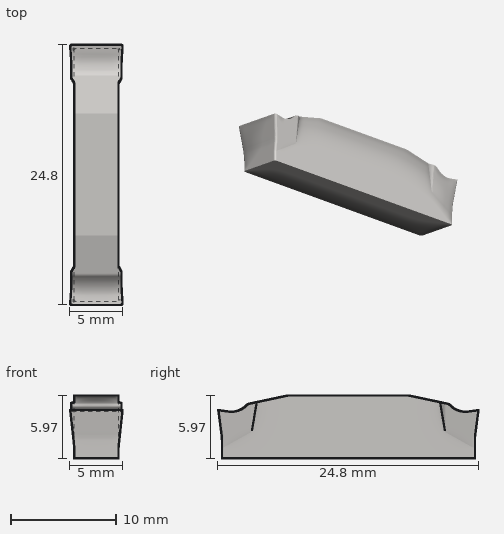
import cadquery as cq
import math

half_length = 12.38
height = 5.97
body_half_width = 2.115

ramp_top_y = 5.80
ramp_angle = 12.0
crest_y = 9.39
crest_radius = 0.58
groove_steepest_angle = 46.0
land_length = 0.98
land_angle = 8.0

end_relief_angle = 7.5
end_relief_bottom_z = 2.23
upright_top_z = 1.78

edge_half_width = 2.516
side_relief_angle = 5.9
back_taper_angle = 3.3
knee_y = 9.2
neck_angle = 31.0
knee_radius = 0.15
corner_radius = 0.2

blank_overhang = 1.0
neck_reach = 1.5


def sine(angle):
    return math.sin(math.radians(angle))


def cosine(angle):
    return math.cos(math.radians(angle))


def tangent(angle):
    return math.tan(math.radians(angle))


crest_z = height - (crest_y - ramp_top_y) * tangent(ramp_angle)
groove_inner_y = crest_y + crest_radius * (sine(groove_steepest_angle) - sine(ramp_angle))
groove_inner_z = crest_z - crest_radius * (cosine(ramp_angle) - cosine(groove_steepest_angle))
groove_outer_y = half_length - land_length
groove_radius = (groove_outer_y - groove_inner_y) / (sine(groove_steepest_angle) + sine(land_angle))
groove_outer_z = groove_inner_z - groove_radius * (cosine(land_angle) - cosine(groove_steepest_angle))
edge_height = groove_outer_z + land_length * tangent(land_angle)

end_relief_bottom_y = half_length - (edge_height - end_relief_bottom_z) * tangent(end_relief_angle)
upright_y = end_relief_bottom_y - (end_relief_bottom_z - upright_top_z) * tangent(end_relief_angle / 2)


def half_profile(half_width):
    """Side outline of the +Y half, extruded to half_width on both sides of X = 0."""
    outline = (
        cq.Workplane("YZ")
        .moveTo(half_length, edge_height)
        .lineTo(groove_outer_y, groove_outer_z)
        .tangentArcPoint((groove_inner_y, groove_inner_z), relative=False)
        .tangentArcPoint((crest_y, crest_z), relative=False)
        .lineTo(ramp_top_y, height)
        .lineTo(0, height)
        .lineTo(0, 0)
        .lineTo(upright_y, 0)
        .lineTo(upright_y, upright_top_z)
        .tangentArcPoint((end_relief_bottom_y, end_relief_bottom_z), relative=False)
        .close()
    )
    return outline.extrude(half_width, both=True)


def flare_section(z):
    """Plan outline of the flare blank at height z."""
    at_edge = edge_half_width + (z - edge_height) * tangent(side_relief_angle)
    at_outer = at_edge + blank_overhang * tangent(back_taper_angle)
    at_knee = at_edge - (half_length - knee_y) * tangent(back_taper_angle)
    at_inner = at_knee - neck_reach * tangent(neck_angle)
    right_side = [
        (at_outer, half_length + blank_overhang),
        (at_knee, knee_y),
        (at_inner, knee_y - neck_reach),
    ]
    left_side = [(-x, y) for x, y in reversed(right_side)]
    return right_side + left_side


def flare_blank():
    """Tapered blank with straight sides and rounded knees."""
    blank = (
        cq.Workplane("XY")
        .polyline(flare_section(0))
        .close()
        .workplane(offset=height)
        .polyline(flare_section(height))
        .close()
        .loft(ruled=True)
    )
    knee_band = cq.selectors.BoxSelector(
        (-half_length, knee_y - knee_radius, 0),
        (half_length, knee_y + knee_radius, height),
    )
    return blank.edges(knee_band).edges("not #Z").fillet(knee_radius)


def round_end_corners(solid):
    """Round the chain of corner edges between the end face and the two sides."""
    end_face_band = cq.selectors.BoxSelector(
        (-half_length, upright_y - corner_radius, 0),
        (half_length, half_length + corner_radius, groove_outer_z),
    )
    return solid.edges(end_face_band).edges("not #Z").fillet(corner_radius)


body = round_end_corners(half_profile(body_half_width))
head = round_end_corners(flare_blank().intersect(half_profile(edge_half_width + blank_overhang)))
half_insert = body.union(head)
result = half_insert.union(half_insert.mirror("XZ")).clean()